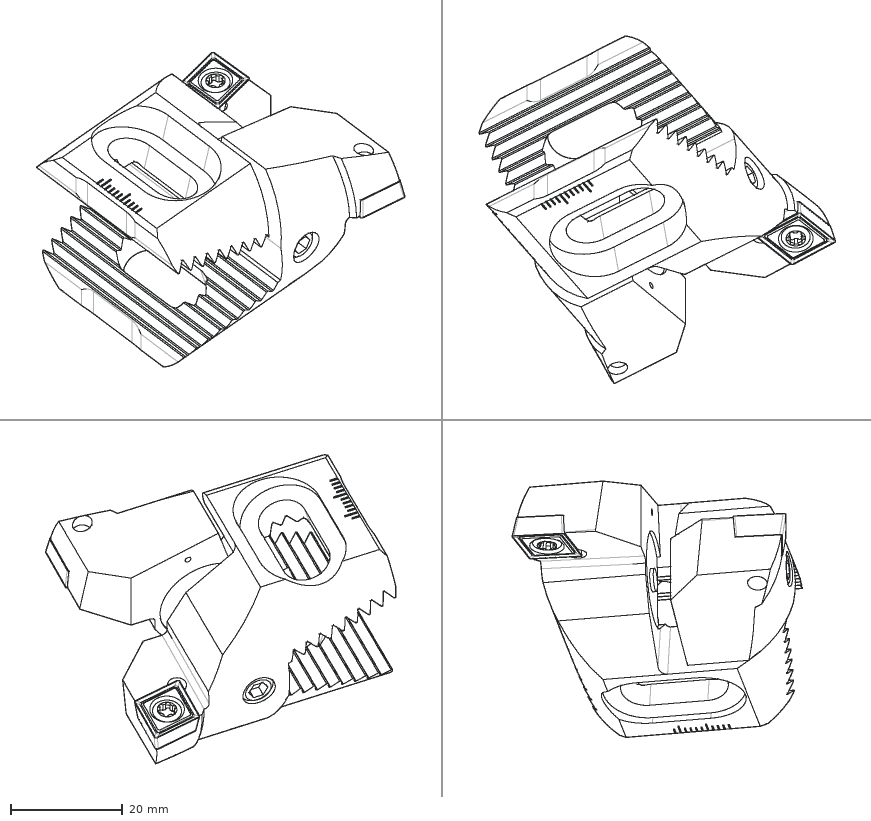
import cadquery as cq
import math

far = 60.1

axis_x = -0.75
body_radius = 21.05
head_start_y = 14.1
head_ramp_length = 0.8
head_ramp_height = 1.0
head_taper_deg = 10.0

back_y = -25.05
front_y = 24.8
jaw_root_y = -2.65
arm_height = 34.2
flat_z = arm_height / 2
end_chamfer = 1.0
heel_z = -3.85
jaw_angle_deg = 15.0
head_edge_y = 23.65
head_edge_z = -10.25
shoulder_y = -0.75
slope_break = (9.4, 9.8)
seat_wall_y = 13.1
seat_wall_top_z = 3.75
seat_stock_z = 1.5

inner_x = -2.7
gap_fillet = 1.5
head_chamfer = 7.0

jaw_tip_z = 4.4
tooth_count = 9
tooth_pitch = 2.75
tooth_depth = 1.85
tooth_flat = 0.3
first_root = 1.9

slot_x = -2.0
slot_along_jaw = 11.5
slot_straight = 10.6
pocket_width = 15.65
pocket_floor = 6.65
slot_width = 8.9

recess_depth = 0.35
recess_half_flat = 5.0
recess_half_width = 7.65

mark_count = 11
mark_pitch = 1.0
mark_first_x = -4.0
mark_width = 0.2
mark_depth = 0.15
mark_length = 1.5
long_mark_length = 2.5
long_marks = (1, 6)

seat_tilt_deg = 2.0
seat_fillet = 1.0
seat_drop = 0.2
cutting_width = 50.15
insert_corner_x = -cutting_width / 2
insert_corner_y = 25.05
insert_height = 9.5
insert_corner_deg = 80.0
insert_thickness = 3.95
insert_clearance_deg = 7.0
insert_corner_radius = 0.4
land_width = 0.15
breaker_depth = 0.2
breaker_slope_width = 0.6
plateau_inset = 1.3
plateau_slope_width = 0.3
relief_top_radius = 1.7
relief_bottom_radius = 1.0
relief_x = -14.65
relief_y = 16.3

screw_radius = 1.75
screw_length = 9.0
head_radius = 2.6
head_top = 0.1
insert_hole_radius = 2.2
countersink_radius = 3.1
countersink_depth = 0.9
torx_core = 1.3
torx_lobe = 0.4
torx_depth = 1.5
torx_lobes = 6
torx_start_deg = 30.0

adjuster_y = 3.3
adjuster_radius = 3.15
adjuster_face_x = -21.45
adjuster_length = 13.05
adjuster_chamfer = 0.65
adjuster_nose_radius = 2.1
hex_across_corners = 3.7
hex_depth = 2.0
hex_sides = 6
spotface_radius = 8.8
spotface_depth = 0.65

coolant_y = 6.65
coolant_z = -11.95
coolant_radius = 0.55
coolant_depth = 2.5

jaw_sin = math.sin(math.radians(jaw_angle_deg))
jaw_cos = math.cos(math.radians(jaw_angle_deg))
jaw_tan = math.tan(math.radians(jaw_angle_deg))
insert_side = insert_height / math.sin(math.radians(insert_corner_deg))
insert_lean = insert_height / math.tan(math.radians(insert_corner_deg))
insert_x = insert_corner_x + (insert_side + insert_lean) / 2
insert_y = insert_corner_y - insert_height / 2
spotface_x = inner_x - spotface_depth

jaw_plane = cq.Plane(
    origin=(0, jaw_root_y, jaw_tip_z), xDir=(0, -jaw_cos, jaw_sin), normal=(-1, 0, 0)
)


def cylinder_x(radius, x_start, x_end, y, z):
    """Cylinder along X."""
    direction = cq.Vector(1, 0, 0)
    base = cq.Vector(x_start, y, z)
    return cq.Workplane(cq.Solid.makeCylinder(radius, x_end - x_start, base, direction))


def frustum_y(start_radius, end_radius, y_start, y_end):
    """Cone frustum about the holder axis."""
    base = cq.Vector(axis_x, y_start, 0)
    return cq.Workplane(
        cq.Solid.makeCone(start_radius, end_radius, y_end - y_start, base, cq.Vector(0, 1, 0))
    )


def tilted(shape):
    """Tilt about the Y-parallel line through the cutting corner, so the seat rises toward the middle."""
    return shape.rotate((insert_corner_x, 0, 0), (insert_corner_x, 1, 0), -seat_tilt_deg)


def turned(shape):
    """The matching body of the other cartridge."""
    return shape.rotate((0, 0, 0), (0, 1, 0), 180)


def rhombus(inset, z):
    """Insert outline with rounded corners, moved inward by `inset`."""
    right = insert_corner_x + insert_side
    low = insert_corner_y - insert_height
    return (
        cq.Workplane("XY", origin=(0, 0, z))
        .polyline(
            [
                (insert_corner_x, insert_corner_y),
                (right, insert_corner_y),
                (right + insert_lean, low),
                (insert_corner_x + insert_lean, low),
            ]
        )
        .close()
        .offset2D(-inset - insert_corner_radius)
        .offset2D(insert_corner_radius)
    )


def rhombus_frustum(top_inset, bottom_inset, depth):
    """Sloped-sided block with its top at z = 0."""
    top = rhombus(top_inset, 0).val()
    bottom = rhombus(bottom_inset, -depth).val()
    return cq.Workplane(cq.Solid.makeLoft([top, bottom], True))


def insert_blank():
    draft = insert_thickness * math.tan(math.radians(insert_clearance_deg))
    return rhombus_frustum(0, draft, insert_thickness)


def envelope():
    ramp_end_y = head_start_y + head_ramp_length
    ramp_radius = body_radius + head_ramp_height
    front_radius = ramp_radius + (front_y - ramp_end_y) * math.tan(math.radians(head_taper_deg))
    shaft = cq.Workplane(
        cq.Solid.makeCylinder(
            body_radius, head_start_y - back_y, cq.Vector(axis_x, back_y, 0), cq.Vector(0, 1, 0)
        )
    )
    ramp = frustum_y(body_radius, ramp_radius, head_start_y, ramp_end_y)
    head = frustum_y(ramp_radius, front_radius, ramp_end_y, front_y)
    return shaft.union(ramp).union(head)


def side_profile():
    """Body and jaw arm in one outline, drawn in the YZ plane."""
    run = head_edge_y - jaw_root_y
    rise = head_edge_z - heel_z
    heel_bottom_y = jaw_root_y + (run * jaw_tan - rise) / (jaw_tan + 1 / jaw_tan)
    heel_bottom_z = heel_z - (heel_bottom_y - jaw_root_y) / jaw_tan
    jaw_end_z = jaw_tip_z + (jaw_root_y - back_y) * jaw_tan
    return (
        cq.Workplane("YZ")
        .polyline(
            [
                (jaw_root_y, heel_z),
                (heel_bottom_y, heel_bottom_z),
                (head_edge_y, head_edge_z),
                (front_y, 0),
                (front_y, seat_stock_z),
                (seat_wall_y, seat_stock_z),
                (seat_wall_y, seat_wall_top_z),
                slope_break,
                (shoulder_y, flat_z),
                (back_y + end_chamfer, flat_z),
                (back_y, flat_z - end_chamfer),
                (back_y, jaw_end_z),
                (jaw_root_y, jaw_tip_z),
            ]
        )
        .close()
        .extrude(far, both=True)
    )


def gap_cutter():
    """Room for the other cartridge: all that lies in front of the arm, beyond the inner face."""
    plane = cq.Plane(origin=(0, shoulder_y, flat_z), xDir=(1, 0, 0), normal=(0, jaw_sin, jaw_cos))
    return (
        cq.Workplane(plane)
        .moveTo(inner_x, far)
        .lineTo(inner_x, gap_fillet)
        .radiusArc((inner_x + gap_fillet, 0), -gap_fillet)
        .lineTo(far, 0)
        .lineTo(far, far)
        .close()
        .extrude(far, both=True)
    )


def tooth_grooves():
    half_root = tooth_flat / 2
    half_mouth = (tooth_pitch - tooth_flat) / 2
    grooves = cq.Workplane(jaw_plane)
    for i in range(tooth_count):
        root = first_root + i * tooth_pitch
        grooves = grooves.polyline(
            [
                (root - half_mouth, 0),
                (root - half_root, tooth_depth),
                (root + half_root, tooth_depth),
                (root + half_mouth, 0),
            ]
        ).close()
    return grooves.extrude(far, both=True)


def jaw_opening():
    """Oblong through slot with a wider pocket above, square to the teeth."""
    center = jaw_plane.toWorldCoords((slot_along_jaw, pocket_floor))
    plane = cq.Plane(
        origin=(slot_x, center.y, center.z), xDir=(1, 0, 0), normal=(0, jaw_sin, jaw_cos)
    )
    pocket = cq.Workplane(plane).slot2D(slot_straight + pocket_width, pocket_width).extrude(far)
    slot = cq.Workplane(plane).slot2D(slot_straight + slot_width, slot_width).extrude(-far)
    return pocket.union(slot)


def end_recess():
    """Shallow recess across the back of the arm, with round run-outs on both sides."""
    bottom_y = back_y + recess_depth
    chord = recess_half_width - recess_half_flat
    radius = (chord**2 + recess_depth**2) / (2 * recess_depth)
    return (
        cq.Workplane("XY", origin=(axis_x, 0, 0))
        .moveTo(-recess_half_width, back_y)
        .radiusArc((-recess_half_flat, bottom_y), radius)
        .lineTo(recess_half_flat, bottom_y)
        .radiusArc((recess_half_width, back_y), radius)
        .close()
        .extrude(far)
    )


def graduation():
    marks = cq.Workplane("XY")
    start_y = back_y + end_chamfer
    for i in range(mark_count):
        length = long_mark_length if i in long_marks else mark_length
        mark = cq.Workplane("XY").box(
            mark_width, length, 2 * mark_depth, centered=(True, False, True)
        )
        marks = marks.add(mark.translate((mark_first_x + i * mark_pitch, start_y, flat_z)))
    return marks.combine()


def seat_cutter():
    """Insert platform with its filleted back wall."""
    stock = cq.Workplane("XY").box(2 * far, far, far, centered=(True, False, False))
    stock = stock.edges("<Y and <Z").fillet(seat_fillet)
    return tilted(stock.translate((0, seat_wall_y, -seat_drop)))


def insert_pocket():
    """Pocket for the insert, its corner relief and the bore for its screw."""
    relief = cq.Workplane(
        cq.Solid.makeCone(
            relief_bottom_radius,
            relief_top_radius,
            insert_thickness - seat_drop,
            cq.Vector(relief_x, relief_y, -insert_thickness),
        )
    )
    bore = cq.Workplane("XY", origin=(insert_x, insert_y, 0)).circle(screw_radius).extrude(-far)
    return tilted(insert_blank().union(relief).union(bore))


def head_corner():
    """Bevel on the inner front corner of the head."""
    return (
        cq.Workplane("XY")
        .polyline(
            [
                (inner_x - head_chamfer, front_y),
                (inner_x, front_y - head_chamfer),
                (inner_x, front_y),
            ]
        )
        .close()
        .extrude(far, both=True)
    )


def adjuster_bore(advance):
    """Stepped bore for the adjusting screw, with an inner spotface that also clears the gap fillet."""
    step_x = adjuster_face_x + adjuster_length + advance
    bore = cylinder_x(adjuster_radius, -far, step_x, adjuster_y, 0)
    nose = cylinder_x(adjuster_nose_radius, step_x, inner_x, adjuster_y, 0)
    spotface = cylinder_x(spotface_radius, spotface_x, inner_x + gap_fillet, adjuster_y, 0)
    return bore.union(nose).union(spotface)


def make_holder(advance):
    coolant = cylinder_x(coolant_radius, inner_x - coolant_depth, inner_x, coolant_y, coolant_z)
    return (
        envelope()
        .intersect(side_profile())
        .cut(gap_cutter())
        .cut(tooth_grooves())
        .cut(jaw_opening())
        .cut(end_recess())
        .cut(graduation())
        .cut(seat_cutter())
        .cut(insert_pocket())
        .cut(head_corner())
        .cut(adjuster_bore(advance))
        .cut(coolant)
    )


def make_insert():
    blank = insert_blank()
    breaker = rhombus_frustum(land_width, land_width + breaker_slope_width, breaker_depth)
    plateau = rhombus_frustum(plateau_inset, plateau_inset - plateau_slope_width, breaker_depth)
    hole = (
        cq.Workplane("XZ", origin=(insert_x, insert_y, 0))
        .polyline(
            [
                (0, 0),
                (countersink_radius, 0),
                (insert_hole_radius, -countersink_depth),
                (insert_hole_radius, -insert_thickness),
                (0, -insert_thickness),
            ]
        )
        .close()
        .revolve()
    )
    return tilted(blank.cut(breaker.cut(plateau)).cut(hole))


def make_insert_screw():
    cone_slope = (countersink_radius - insert_hole_radius) / countersink_depth
    seat_depth = (countersink_radius - head_radius) / cone_slope
    screw = (
        cq.Workplane("XZ", origin=(insert_x, insert_y, 0))
        .polyline(
            [
                (0, -head_top),
                (screw_radius, -head_top),
                (head_radius, -seat_depth),
                (insert_hole_radius, -countersink_depth),
                (screw_radius, -countersink_depth),
                (screw_radius, -screw_length),
                (0, -screw_length),
            ]
        )
        .close()
        .revolve()
    )
    top = cq.Workplane("XY", origin=(insert_x, insert_y, -head_top))
    core = top.circle(torx_core).extrude(-torx_depth)
    lobes = top.polarArray(torx_core, torx_start_deg, 360, torx_lobes).circle(torx_lobe).extrude(-torx_depth)
    return tilted(screw.cut(core.union(lobes)))


def make_adjuster(advance):
    face_x = adjuster_face_x + advance
    shank = cylinder_x(adjuster_radius, face_x, face_x + adjuster_length, adjuster_y, 0)
    shank = shank.faces("<X").chamfer(adjuster_chamfer)
    nose = cylinder_x(
        adjuster_nose_radius, face_x + adjuster_length, spotface_x + advance, adjuster_y, 0
    )
    face = cq.Workplane("YZ", origin=(face_x, adjuster_y, 0))
    socket = face.polygon(hex_sides, hex_across_corners).extrude(hex_depth)
    return shank.union(nose).cut(socket)


left_advance = 0.0
right_advance = spotface_depth

left_bodies = [
    make_holder(left_advance),
    make_insert(),
    make_insert_screw(),
    make_adjuster(left_advance),
]
right_bodies = [
    turned(make_holder(right_advance)),
    turned(make_insert()),
    turned(make_insert_screw()),
    turned(make_adjuster(right_advance)),
]

result = cq.Compound.makeCompound([body.solids().val() for body in left_bodies + right_bodies])